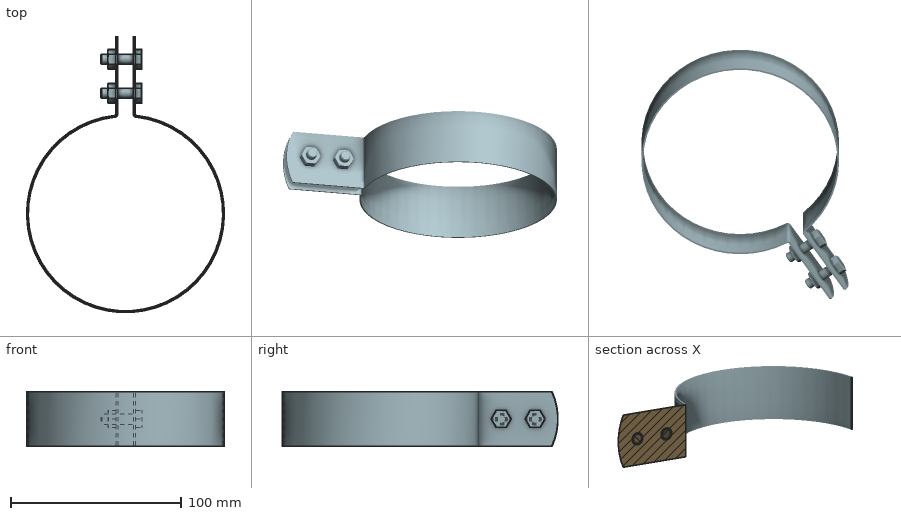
import cadquery as cq
import math

ring_radius = 58.0
strip_thickness = 1.0
strip_width = 32.0
ear_gap = 9.2
total_length = 161.9
ear_tip_y = total_length - ring_radius
ear_tip_radius = 38.0
bend_inner_radius = 1.0
bend_outer_radius = bend_inner_radius + strip_thickness
hole_diameter = 7.0

bolt_diameter = 6.0
bolt_tip_diameter = 4.9
bolt_tip_x = -14.4
bolt_pitch = 19.9
bolt_to_ear_tip = 13.5
head_height = 3.9
nut_height = 4.9
hex_across_flats = 10.0
nut_chamfer_diameter = hex_across_flats
nut_chamfer_angle = 30.0
hex_across_corners = hex_across_flats / math.cos(math.radians(30))

ear_outer_x = ear_gap / 2 + strip_thickness
bolt_positions = [ear_tip_y - bolt_to_ear_tip - i * bolt_pitch for i in range(2)]


def block(x_size, y_min, y_max):
    """Box as high as the strip, centred on X and Z, between two Y values."""
    return cq.Workplane("XY").box(x_size, y_max - y_min, strip_width).translate((0, (y_min + y_max) / 2, 0))


def x_cylinder(diameter, x_start, x_end, y):
    """Cylinder along X at Z = 0."""
    return cq.Workplane("YZ", origin=(x_start, y, 0)).circle(diameter / 2).extrude(x_end - x_start)


def make_band():
    """One strip bent into an open ring with two parallel ears."""
    ring_inner_radius = ring_radius - strip_thickness
    disc = cq.Workplane("XY").circle(ring_radius).extrude(strip_width / 2, both=True)
    bore = cq.Workplane("XY").circle(ring_inner_radius).extrude(strip_width / 2, both=True)
    band = disc.union(block(2 * ear_outer_x, 0, ear_tip_y)).cut(bore)
    band = band.cut(block(ear_gap, 0, ear_tip_y))

    concave_y = math.sqrt(ring_radius**2 - ear_outer_x**2)
    convex_y = math.sqrt(ring_inner_radius**2 - (ear_gap / 2) ** 2)
    for side in (-1, 1):
        concave_point = (side * ear_outer_x, concave_y, 0)
        convex_point = (side * ear_gap / 2, convex_y, 0)
        band = band.edges("|Z").edges(cq.NearestToPointSelector(concave_point)).fillet(bend_inner_radius)
        band = band.edges("|Z").edges(cq.NearestToPointSelector(convex_point)).fillet(bend_outer_radius)

    tip_sagitta = ear_tip_radius - math.sqrt(ear_tip_radius**2 - (strip_width / 2) ** 2)
    shoulder_y = ear_tip_y - tip_sagitta
    outline = (
        cq.Workplane("YZ")
        .moveTo(-ring_radius, -strip_width / 2)
        .lineTo(shoulder_y, -strip_width / 2)
        .threePointArc((ear_tip_y, 0), (shoulder_y, strip_width / 2))
        .lineTo(-ring_radius, strip_width / 2)
        .close()
        .extrude(ring_radius, both=True)
    )
    band = band.intersect(outline)

    for y in bolt_positions:
        band = band.cut(x_cylinder(hole_diameter, -ear_outer_x, ear_outer_x, y))
    return band


def make_hexagon(x_seat, x_end, y):
    """Hexagonal prism along X, with two corners pointing along Y."""
    return cq.Workplane("YZ", origin=(x_seat, y, 0)).polygon(6, hex_across_corners).extrude(x_end - x_seat)


def make_bolt(y):
    """Hexagon bolt with its head on the +X ear and a chamfered tip."""
    shank = x_cylinder(bolt_diameter, bolt_tip_x, ear_outer_x, y)
    shank = shank.faces("<X").chamfer((bolt_diameter - bolt_tip_diameter) / 2)
    return shank.union(make_hexagon(ear_outer_x, ear_outer_x + head_height, y))


def make_nut(y):
    """Hexagon nut on the -X ear, chamfered on its free face and fitting closely around the bolt."""
    seat_x = -ear_outer_x
    free_x = seat_x - nut_height
    corner_radius = hex_across_corners / 2
    chamfer_radius = nut_chamfer_diameter / 2
    chamfer_depth = (corner_radius - chamfer_radius) * math.tan(math.radians(nut_chamfer_angle))
    chamfer_cone = (
        cq.Workplane("XY")
        .moveTo(seat_x, 0)
        .lineTo(seat_x, corner_radius)
        .lineTo(free_x + chamfer_depth, corner_radius)
        .lineTo(free_x, chamfer_radius)
        .lineTo(free_x, 0)
        .close()
        .revolve(360, (0, 0, 0), (1, 0, 0))
        .translate((0, y, 0))
    )
    nut = make_hexagon(seat_x, free_x, y).intersect(chamfer_cone)
    return nut.cut(x_cylinder(bolt_diameter, free_x, seat_x, y))


band = make_band()
bolts = [make_bolt(y) for y in bolt_positions]
nuts = [make_nut(y) for y in bolt_positions]

result = cq.Compound.makeCompound([body.val() for body in [band, *bolts, *nuts]])